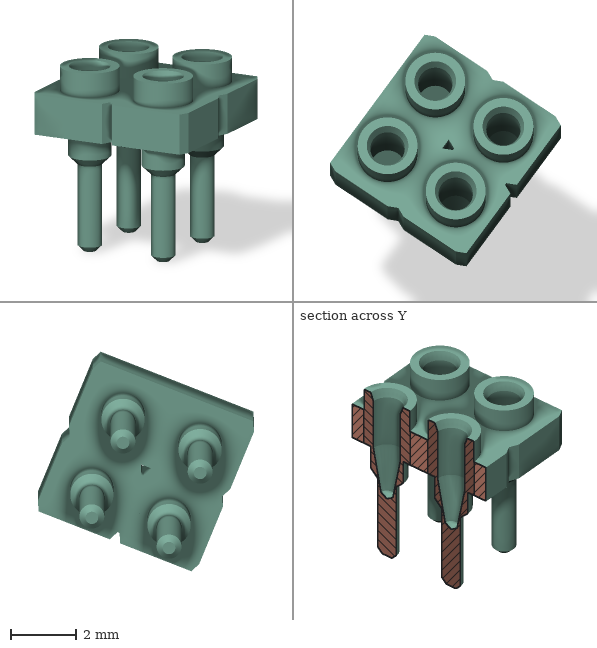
import cadquery as cq

total_height = 5.84
pitch = 2.54
columns = 2
rows = 2

housing_length = 5.31
housing_width = rows * pitch
plate_thickness = 1.27
bevel_x = 0.14
bevel_y = 0.3
notch_floor_width = 0.065

collar_rise = 0.765
shank_length = 0.79
shoulder_height = 0.27
tip_chamfer = 0.185

collar_diameter = 1.83
shank_diameter = 1.32
tail_diameter = 0.76

mouth_diameter = 1.275
bore_diameter = 1.05
mouth_depth = 0.28
funnel_diameter = 0.45
funnel_depth = 1.52
floor_cone_depth = 0.13
floor_diameter = 0.04

plate_top = total_height - collar_rise
plate_bottom = plate_top - plate_thickness
shoulder_top = plate_bottom - shank_length
shoulder_bottom = shoulder_top - shoulder_height
mouth_bottom = total_height - mouth_depth
bore_bottom = plate_bottom
funnel_bottom = bore_bottom - funnel_depth
floor_level = funnel_bottom - floor_cone_depth

column_positions = [(column - (columns - 1) / 2) * pitch for column in range(columns)]
front_row_y = -pitch / 2
rear_row_y = pitch / 2


def prism(points):
    """Vertical prism through the full thickness of the plate."""
    return cq.Workplane("XY", origin=(0, 0, plate_bottom)).polyline(points).close().extrude(plate_thickness)


def side_notch(side):
    """V-notch halfway along the left (-1) or right (+1) edge."""
    edge_x = side * housing_length / 2
    return prism([(edge_x, -bevel_y), (edge_x, bevel_y), (edge_x - side * bevel_x, 0)])


def tapered_notch(base_y, direction):
    """Notch on the Y axis that narrows from base_y along the given Y direction to a small flat."""
    half_floor = notch_floor_width / 2
    half_base = half_floor + bevel_x
    floor_y = base_y + direction * bevel_y
    return prism([(-half_base, base_y), (half_base, base_y), (half_floor, floor_y), (-half_floor, floor_y)])


def make_housing():
    half_length = housing_length / 2
    half_width = housing_width / 2
    housing = prism([
        (-half_length, -half_width + bevel_y),
        (-half_length + bevel_x, -half_width),
        (half_length - bevel_x, -half_width),
        (half_length, -half_width + bevel_y),
        (half_length, half_width - bevel_y),
        (half_length - bevel_x, half_width),
        (-half_length + bevel_x, half_width),
        (-half_length, half_width - bevel_y),
    ])
    for side in (-1, 1):
        housing = housing.cut(side_notch(side))
    housing = housing.cut(tapered_notch(-half_width, 1))
    housing = housing.cut(tapered_notch(0, -1))
    pin_holes = (
        cq.Workplane("XY", origin=(0, 0, plate_bottom))
        .rarray(pitch, pitch, columns, rows)
        .circle(collar_diameter / 2)
        .extrude(plate_thickness)
    )
    return housing.cut(pin_holes)


def make_pin(x, y, has_funnel):
    """Turned pin on a vertical axis; its socket ends in a funnel or in a flat floor."""
    mouth_radius = mouth_diameter / 2
    bore_radius = bore_diameter / 2
    profile = (
        cq.Workplane("XZ")
        .moveTo(mouth_radius, total_height)
        .lineTo(collar_diameter / 2, total_height)
        .lineTo(collar_diameter / 2, plate_bottom)
        .lineTo(shank_diameter / 2, plate_bottom)
        .lineTo(shank_diameter / 2, shoulder_top)
        .lineTo(tail_diameter / 2, shoulder_bottom)
        .lineTo(tail_diameter / 2, tip_chamfer)
        .lineTo(tail_diameter / 2 - tip_chamfer, 0)
        .lineTo(0, 0)
    )
    if has_funnel:
        profile = (
            profile.lineTo(0, floor_level)
            .lineTo(floor_diameter / 2, floor_level)
            .lineTo(funnel_diameter / 2, funnel_bottom)
        )
    else:
        profile = profile.lineTo(0, bore_bottom)
    profile = (
        profile.lineTo(bore_radius, bore_bottom)
        .lineTo(bore_radius, mouth_bottom)
        .close()
    )
    return profile.revolve(360, (0, 0, 0), (0, 1, 0)).translate((x, y, 0))


housing = make_housing()
funnel_pins = [make_pin(x, front_row_y, True) for x in column_positions]
flat_pins = [make_pin(x, rear_row_y, False) for x in column_positions]
pins = funnel_pins + flat_pins

result = cq.Compound.makeCompound([housing.val(), *[pin.val() for pin in pins]])